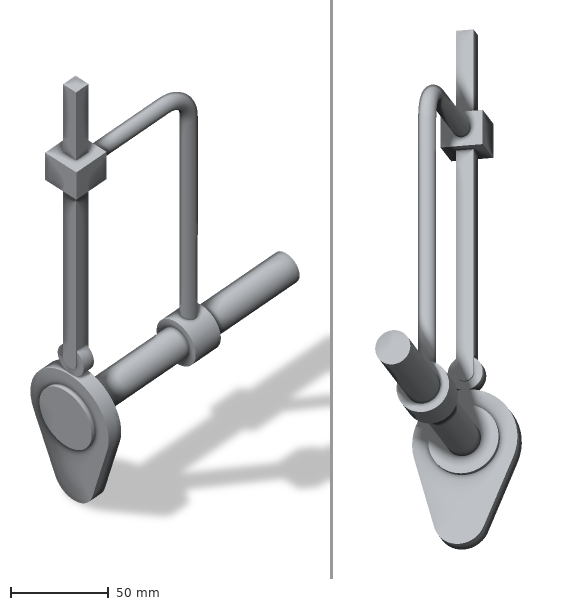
import cadquery as cq
import math

overall_height = 277.2
overall_length = 166.3

shaft_radius = overall_height / 30
shaft_diameter = 2 * shaft_radius
key_width = 4.5
key_reach = 13.9

cam_radius = 3 * shaft_radius
cam_thickness = shaft_radius
hub_radius = 2 * shaft_radius
hub_length = 15.0
nose_radius = 13.9
nose_reach = 55.5
nose_offset = 2.8

roller_radius = shaft_radius
roller_thickness = 7.5
roller_height = cam_radius + roller_radius

stem_width = shaft_radius
stem_top = overall_height - nose_reach

guide_width = 22.2
guide_height = shaft_diameter
guide_level = 166.3

collar_radius = 1.5 * shaft_radius
collar_length = shaft_diameter
collar_position = 83.2

rod_radius = shaft_radius / 2
bend_radius = shaft_diameter

shaft_start = -hub_length / 2
shaft_end = overall_length - guide_width / 2


def cylinder_along_y(radius, length, start, height=0.0):
    """Solid cylinder parallel to Y, at the given height above the shaft axis."""
    return cq.Workplane(
        cq.Solid.makeCylinder(radius, length, cq.Vector(0, start, height), cq.Vector(0, 1, 0))
    )


def make_shaft():
    """Round shaft with an integral key along the hub."""
    shaft = cylinder_along_y(shaft_radius, shaft_end - shaft_start, shaft_start)
    key = cq.Workplane("XY").box(key_width, hub_length, key_reach, centered=(True, True, False))
    return shaft.union(key.translate((0, 0, -key_reach)))


def make_cam(shaft):
    """Cam plate of two arcs joined by tangent lines, with a hub keyed to the shaft."""
    nose_drop = nose_reach - nose_radius
    nose_distance = math.hypot(nose_offset, nose_drop)
    lean = math.atan2(nose_offset, nose_drop)
    taper = math.asin((cam_radius - nose_radius) / nose_distance)
    right_angle = lean - taper
    left_angle = math.pi + lean + taper

    def base_point(angle):
        return (cam_radius * math.cos(angle), cam_radius * math.sin(angle))

    def nose_point(angle):
        return (
            nose_offset + nose_radius * math.cos(angle),
            -nose_drop + nose_radius * math.sin(angle),
        )

    plate = (
        cq.Workplane("XZ")
        .moveTo(*base_point(right_angle))
        .threePointArc((0, cam_radius), base_point(left_angle))
        .lineTo(*nose_point(left_angle))
        .threePointArc((nose_offset, -nose_reach), nose_point(right_angle))
        .close()
        .extrude(cam_thickness / 2, both=True)
    )
    hub = cylinder_along_y(hub_radius, hub_length, -hub_length / 2)
    return plate.union(hub).cut(shaft)


def make_roller():
    """Plain roller resting on top of the cam."""
    return cylinder_along_y(roller_radius, roller_thickness, -roller_thickness / 2, roller_height)


def make_stem():
    """Square follower stem whose rounded lower end is forked around the roller."""
    bar = (
        cq.Workplane("XY", origin=(0, 0, roller_height))
        .rect(stem_width, stem_width)
        .extrude(stem_top - roller_height)
    )
    rounded_end = cylinder_along_y(stem_width / 2, stem_width, -stem_width / 2, roller_height)
    fork_slot = cq.Workplane("XY", origin=(0, 0, roller_height)).box(
        stem_width, roller_thickness, 2 * roller_radius
    )
    return bar.union(rounded_end).cut(fork_slot)


def make_guide():
    """Block with a square through hole in which the stem slides."""
    block = cq.Workplane("XY", origin=(0, 0, guide_level)).box(guide_width, guide_width, guide_height)
    return block.faces(">Z").workplane().rect(stem_width, stem_width).cutThruAll()


def make_collar():
    """Ring on the shaft that carries the rod."""
    start = collar_position - collar_length / 2
    ring = cylinder_along_y(collar_radius, collar_length, start)
    return ring.cut(cylinder_along_y(shaft_radius, collar_length, start))


def make_rod():
    """Round rod rising from the collar and bending over to the back of the guide."""
    bend_middle = bend_radius * (1 - math.sqrt(0.5))
    path = (
        cq.Workplane("YZ")
        .moveTo(collar_position, shaft_radius)
        .lineTo(collar_position, guide_level - bend_radius)
        .threePointArc(
            (collar_position - bend_middle, guide_level - bend_middle),
            (collar_position - bend_radius, guide_level),
        )
        .lineTo(guide_width / 2, guide_level)
    )
    rod = cq.Workplane("XY", origin=(0, collar_position, shaft_radius)).circle(rod_radius).sweep(path)
    collar_envelope = cylinder_along_y(collar_radius, collar_length, collar_position - collar_length / 2)
    return rod.cut(collar_envelope)


shaft = make_shaft()
cam = make_cam(shaft)
roller = make_roller()
stem = make_stem()
guide = make_guide()
collar = make_collar()
rod = make_rod()

bodies = [shaft, cam, roller, stem, guide, collar, rod]
result = cq.Compound.makeCompound([body.solids().val() for body in bodies])